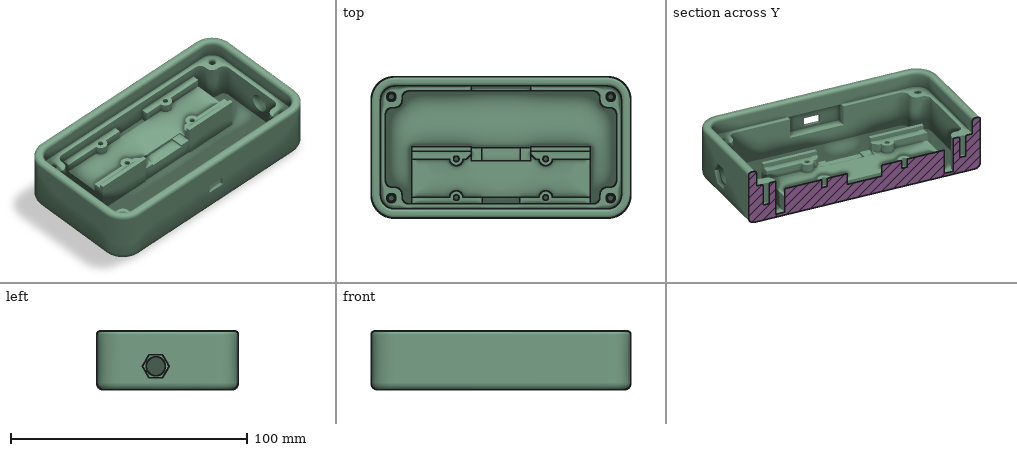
import cadquery as cq

LENGTH = 110.0
WIDTH = 60.0
HEIGHT = 25.0
CORNER_RADIUS = 10.0
BOTTOM_FILLET = 3.0
RIM_FILLET = 1.5

LIP_WALL = 4.0
LEDGE_Z = 17.6
CAVITY_WALL = 6.0
FLOOR_Z = 1.6
CAVITY_LENGTH = LENGTH - 2 * CAVITY_WALL
CAVITY_WIDTH = WIDTH - 2 * CAVITY_WALL

POST_SIZE = 7.0
POST_FILLET = 3.0
SCREW_X = 46.4
SCREW_Y = 21.5
SCREW_HOLE_DIAMETER = 2.8
SCREW_MOUTH_DIAMETER = 3.8
SCREW_HOLE_DEPTH = 10.0
COUNTERSINK_ANGLE = 90.0

PLATFORM_HALF_LENGTH = 37.8
PLATFORM_BACK_Y = -0.2
PLATFORM_Z = 9.1
CAVITY_FRONT_Y = -CAVITY_WIDTH / 2

SHELF_Z = 13.0
SHELF_FRONT_Y = -5.0
RAIL_Z = 14.8
RAIL_BACK_Y = 0.2
RAIL_WIDTH = 1.8
SHELF_INNER_X = 12.6
SHELF_CHAMFER = 2.0
FRONT_BAR_BACK_Y = -21.0
STANDOFF_X = 18.9
STANDOFF_YS = (-4.8, -21.2)
STANDOFF_RADIUS = 2.9
STANDOFF_HOLE_DIAMETER = 2.3

STEP_FRONT_Y = -5.7
STEP_Z = 8.6
RELIEF_HALF_LENGTH = 8.2
RELIEF_Z = 7.7
FRONT_RELIEF_HALF_LENGTH = 7.9

SOCKET_LENGTH = 25.2
SOCKET_WALL = 1.4
SOCKET_Z = 8.6
WINDOW_LENGTH = 7.6
WINDOW_BOTTOM_Z = 9.8
WINDOW_TOP_Z = 13.5

JACK_Y = 5.0
JACK_Z = 10.0
JACK_DIAMETER = 8.0
NUT_ACROSS_CORNERS = 11.3
NUT_SIDES = 6
NUT_DEPTH = 2.0


def block(x_min, x_max, y_min, y_max, z_min, z_max):
    """Box between two opposite corners."""
    return cq.Workplane("XY").box(
        x_max - x_min, y_max - y_min, z_max - z_min, centered=False
    ).translate((x_min, y_min, z_min))


def make_shell():
    """Rounded block with the lid recess and softened rims."""
    shell = cq.Workplane("XY").box(LENGTH, WIDTH, HEIGHT, centered=(True, True, False))
    shell = shell.edges("|Z").fillet(CORNER_RADIUS)
    shell = shell.faces("<Z").edges().fillet(BOTTOM_FILLET)
    recess = (
        cq.Workplane("XY", origin=(0, 0, LEDGE_Z))
        .rect(LENGTH - 2 * LIP_WALL, WIDTH - 2 * LIP_WALL)
        .extrude(HEIGHT - LEDGE_Z)
        .edges("|Z")
        .fillet(CORNER_RADIUS - LIP_WALL)
    )
    return shell.cut(recess).faces(">Z").edges().fillet(RIM_FILLET)


def make_cavity():
    """Cavity outline with a rounded screw post left standing in each corner."""
    height = LEDGE_Z - FLOOR_Z
    base = cq.Workplane("XY", origin=(0, 0, FLOOR_Z))
    long_part = base.rect(CAVITY_LENGTH, CAVITY_WIDTH - 2 * POST_SIZE).extrude(height)
    wide_part = base.rect(CAVITY_LENGTH - 2 * POST_SIZE, CAVITY_WIDTH).extrude(height)
    return long_part.union(wide_part).edges("|Z").fillet(POST_FILLET)


def make_back_shelf():
    """Right-hand back shelf with its rail; the inner front corner is chamfered."""
    shelf = block(
        SHELF_INNER_X, PLATFORM_HALF_LENGTH, SHELF_FRONT_Y, RAIL_BACK_Y, FLOOR_Z, SHELF_Z
    )
    shelf = shelf.edges("|Z and <X and <Y").chamfer(SHELF_CHAMFER)
    rail = block(
        SHELF_INNER_X, PLATFORM_HALF_LENGTH, RAIL_BACK_Y - RAIL_WIDTH, RAIL_BACK_Y, FLOOR_Z, RAIL_Z
    )
    return shelf.union(rail)


def make_platform():
    """Platform with its clearances, board supports and standoffs."""
    platform = block(
        -PLATFORM_HALF_LENGTH, PLATFORM_HALF_LENGTH,
        CAVITY_FRONT_Y, PLATFORM_BACK_Y, FLOOR_Z, PLATFORM_Z,
    )
    platform = platform.cut(
        block(-SHELF_INNER_X, SHELF_INNER_X, STEP_FRONT_Y, PLATFORM_BACK_Y, STEP_Z, PLATFORM_Z)
    )
    platform = platform.cut(
        block(
            -RELIEF_HALF_LENGTH, RELIEF_HALF_LENGTH,
            STEP_FRONT_Y, PLATFORM_BACK_Y, RELIEF_Z, PLATFORM_Z,
        )
    )

    back_shelf = make_back_shelf()
    platform = platform.union(back_shelf).union(back_shelf.mirror("YZ"))
    platform = platform.union(
        block(
            -PLATFORM_HALF_LENGTH, PLATFORM_HALF_LENGTH,
            CAVITY_FRONT_Y, FRONT_BAR_BACK_Y, FLOOR_Z, SHELF_Z,
        )
    )
    platform = platform.cut(
        block(
            -FRONT_RELIEF_HALF_LENGTH, FRONT_RELIEF_HALF_LENGTH,
            CAVITY_FRONT_Y, FRONT_BAR_BACK_Y, RELIEF_Z, SHELF_Z,
        )
    )

    centers = [(side * STANDOFF_X, y) for side in (-1, 1) for y in STANDOFF_YS]
    support = cq.Workplane("XY", origin=(0, 0, PLATFORM_Z)).pushPoints(centers)
    standoffs = support.circle(STANDOFF_RADIUS).extrude(SHELF_Z - PLATFORM_Z)
    standoffs = standoffs.intersect(
        block(-PLATFORM_HALF_LENGTH, PLATFORM_HALF_LENGTH,
              CAVITY_FRONT_Y, RAIL_BACK_Y, PLATFORM_Z, SHELF_Z)
    )
    holes = support.circle(STANDOFF_HOLE_DIAMETER / 2).extrude(SHELF_Z - PLATFORM_Z)
    return platform.union(standoffs).cut(holes)


def cut_screw_holes(body):
    """Countersunk blind holes in the four corner posts."""
    return (
        body.copyWorkplane(cq.Workplane("XY", origin=(0, 0, LEDGE_Z)))
        .rect(2 * SCREW_X, 2 * SCREW_Y, forConstruction=True)
        .vertices()
        .cskHole(SCREW_HOLE_DIAMETER, SCREW_MOUTH_DIAMETER, COUNTERSINK_ANGLE, SCREW_HOLE_DEPTH)
    )


def make_socket():
    """Pocket inside the back wall with a window through the thin remaining skin."""
    pocket = block(
        -SOCKET_LENGTH / 2, SOCKET_LENGTH / 2,
        CAVITY_WIDTH / 2, WIDTH / 2 - SOCKET_WALL, SOCKET_Z, LEDGE_Z,
    )
    window = block(
        -WINDOW_LENGTH / 2, WINDOW_LENGTH / 2,
        CAVITY_WIDTH / 2, WIDTH / 2, WINDOW_BOTTOM_Z, WINDOW_TOP_Z,
    )
    return pocket.union(window)


def make_jack():
    """Through hole and nut recess, cut inward from the left face."""
    face = cq.Workplane("YZ", origin=(-LENGTH / 2, JACK_Y, JACK_Z))
    hole = face.circle(JACK_DIAMETER / 2).extrude(CAVITY_WALL)
    nut = face.polygon(NUT_SIDES, NUT_ACROSS_CORNERS).extrude(NUT_DEPTH)
    return hole.union(nut)


body = make_shell().cut(make_cavity()).union(make_platform())
body = cut_screw_holes(body)
result = body.cut(make_socket()).cut(make_jack())